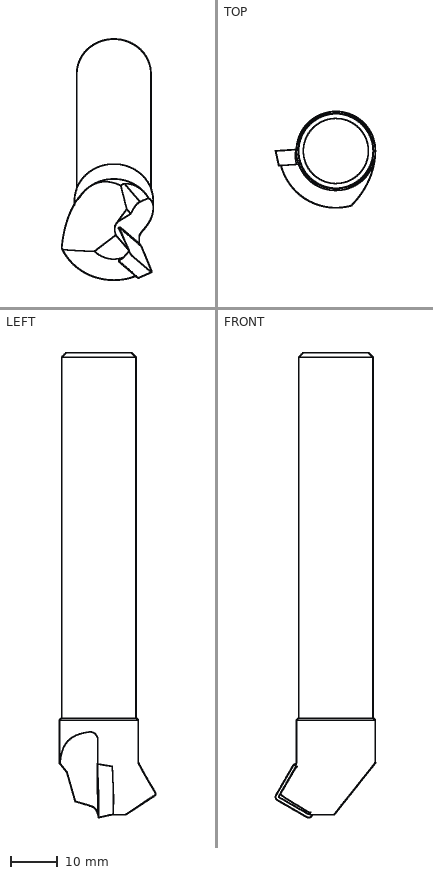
import cadquery as cq
import math

LENGTH = 100.0
BIG = 60.0
EDGE_REACH = 0.1

SHANK_DIA = 16.0
SHANK_CHAMFER = 1.0
COLLAR_DIA = 17.0
COLLAR_CHAMFER = 0.4
COLLAR_TOP_Z = 21.4
COLLAR_BOTTOM_Z = 11.8

HEAD_RADIUS = 12.4
HEAD_WIDEST_Z = 5.0
HEAD_BOTTOM_RADIUS = 5.7
HEAD_BOTTOM_Z = 0.6
RIM_ROUND = 0.5
NECK_ROUND = 0.6

FLAT_ANGLE = 38.5

BACK_RELIEF = [(6.9, 9.8), (5.1, 3.5), (2.0, 2.6)]

GASH_WALL_Y = 0.2
GASH_FLOOR_X = 1.5
GASH_ARC_RADIUS = 13.3
GASH_ARC_CENTRE_Z = 5.8
GASH_SKEW = 11.0
GASH_FILLET = 1.8

INSERT_SIDE = 8.9
INSERT_THICKNESS = 3.2
INSERT_CORNER_RADIUS = 0.8
INSERT_RELIEF = 11.0
INSERT_TURN = 30.0
INSERT_TILT_X = 1.6
INSERT_TILT_Z = 1.4
INSERT_CENTRE = (-7.2, 0.2, 5.8)
POCKET_CLEARANCE = 1.0


def edges_at_height(z):
    """Selector for the edges centred within EDGE_REACH of a height."""
    return cq.selectors.BoxSelector((-BIG, -BIG, z - EDGE_REACH), (BIG, BIG, z + EDGE_REACH))


def make_blank():
    """Shank, collar and double-cone head turned about Z."""
    shank_r = SHANK_DIA / 2
    collar_r = COLLAR_DIA / 2
    outline = [
        (0, HEAD_BOTTOM_Z),
        (HEAD_BOTTOM_RADIUS, HEAD_BOTTOM_Z),
        (HEAD_RADIUS, HEAD_WIDEST_Z),
        (collar_r, COLLAR_BOTTOM_Z),
        (collar_r, COLLAR_TOP_Z - COLLAR_CHAMFER),
        (collar_r - COLLAR_CHAMFER, COLLAR_TOP_Z),
        (shank_r, COLLAR_TOP_Z),
        (shank_r, LENGTH - SHANK_CHAMFER),
        (shank_r - SHANK_CHAMFER, LENGTH),
        (0, LENGTH),
    ]
    blank = cq.Workplane("XZ").polyline(outline).close().revolve(360, (0, 0), (0, 1))
    blank = blank.edges(edges_at_height(HEAD_WIDEST_Z)).fillet(RIM_ROUND)
    return blank.edges(edges_at_height(COLLAR_BOTTOM_Z)).fillet(NECK_ROUND)


def make_side_trim():
    """Everything beyond the sloping flat, which starts at the lower collar edge."""
    collar_r = COLLAR_DIA / 2
    run = COLLAR_BOTTOM_Z * math.tan(math.radians(FLAT_ANGLE))
    outline = [(collar_r, COLLAR_BOTTOM_Z), (collar_r - run, 0), (BIG, 0), (BIG, COLLAR_BOTTOM_Z)]
    return cq.Workplane("XZ").polyline(outline).close().extrude(BIG, both=True)


def make_back_trim():
    """Everything behind the stepped relief on the +Y side of the head."""
    outline = [
        (COLLAR_DIA / 2, COLLAR_BOTTOM_Z),
        *BACK_RELIEF,
        (GASH_WALL_Y, HEAD_BOTTOM_Z),
        (BIG, HEAD_BOTTOM_Z),
        (BIG, COLLAR_BOTTOM_Z),
    ]
    return cq.Workplane("YZ").polyline(outline).close().extrude(BIG, both=True)


def make_rear_ring():
    """Everything outside the collar diameter on the +Y half of the head."""
    half = cq.Workplane("XY").rect(2 * BIG, BIG).extrude(COLLAR_BOTTOM_Z)
    core = cq.Workplane("XY").circle(COLLAR_DIA / 2).extrude(COLLAR_BOTTOM_Z)
    return half.translate((0, GASH_WALL_Y + BIG / 2, 0)).cut(core)


def make_gash():
    """Chip space: a flat wall, and a skewed floor that curves up to the collar."""
    arc_x = GASH_FLOOR_X - GASH_ARC_RADIUS
    arc_top = GASH_ARC_CENTRE_Z + GASH_ARC_RADIUS
    diagonal = GASH_ARC_RADIUS * math.sqrt(0.5)
    prism = (
        cq.Workplane("XZ")
        .moveTo(GASH_FLOOR_X, -BIG)
        .lineTo(GASH_FLOOR_X, GASH_ARC_CENTRE_Z)
        .threePointArc((arc_x + diagonal, GASH_ARC_CENTRE_Z + diagonal), (arc_x, arc_top))
        .lineTo(-BIG, arc_top)
        .lineTo(-BIG, -BIG)
        .close()
        .extrude(BIG, both=True)
        .rotate((0, 0, 0), (0, 0, 1), GASH_SKEW)
    )
    outside = cq.Workplane("XZ", origin=(0, GASH_WALL_Y, 0)).rect(4 * BIG, 4 * BIG).extrude(2 * BIG)
    gash = prism.cut(outside)
    floor_corner = cq.selectors.BoxSelector((-BIG / 2, -BIG, -BIG), (BIG, BIG, BIG))
    return gash.faces("<Y").edges(floor_corner).fillet(GASH_FILLET)


def place_insert(shape):
    """Move a shape made at the origin to the tilted seat of the insert."""
    return (
        shape.rotate((0, 0, 0), (1, 0, 0), -INSERT_TILT_X)
        .rotate((0, 0, 0), (0, 0, 1), INSERT_TILT_Z)
        .translate(INSERT_CENTRE)
    )


def insert_outline():
    """Rounded square, turned to the lead angle of the bottom cutting edge."""
    square = cq.Sketch().rect(INSERT_SIDE, INSERT_SIDE, angle=-INSERT_TURN)
    return square.vertices().fillet(INSERT_CORNER_RADIUS)


def make_insert():
    """Square insert with its flanks tapering back from the rake face."""
    plate = cq.Workplane("XZ").placeSketch(insert_outline())
    return place_insert(plate.extrude(INSERT_THICKNESS, taper=INSERT_RELIEF))


def make_pocket_mouth():
    """Straight opening in front of the insert's rake face."""
    return place_insert(cq.Workplane("XZ").placeSketch(insert_outline()).extrude(-POCKET_CLEARANCE))


def make_holder(insert):
    """Turned blank with its reliefs, chip gash and the pocket that seats the insert."""
    body = make_blank()
    for waste in (make_side_trim(), make_back_trim(), make_rear_ring(), make_gash()):
        body = body.cut(waste)
    return body.cut(insert).cut(make_pocket_mouth())


insert = make_insert()
holder = make_holder(insert)

result = cq.Compound.makeCompound([holder.val(), insert.val()])